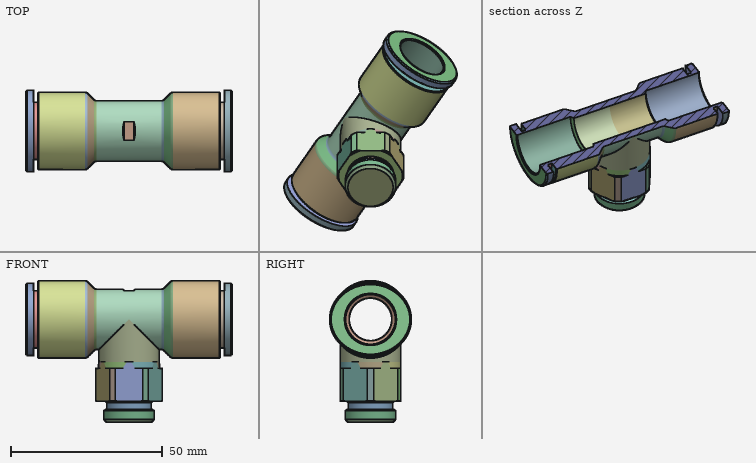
import cadquery as cq
import math

TUBE_RADIUS = 10.0

SOCKET_RADIUS = 12.8
SOCKET_END_X = 30.05
SOCKET_CONE_X = 14.0
SOCKET_END_CHAMFER = 0.3
SHOULDER_FILLET = 1.2

HALF_LENGTH = 34.0
FLANGE_WIDTH = 27.0
FLANGE_HEIGHT = 24.0
FLANGE_THICKNESS = 2.55
FLANGE_CHAMFER_AXIAL = 0.45
FLANGE_CHAMFER_RADIAL = 0.5
COLLAR_NECK_RADIUS = 9.5

BORE_MID_RADIUS = 7.0
SEAT_RADIUS = 8.2
SEAT_STEP_SLOPE = math.radians(30)
MOUTH_CHAMFER = 0.4

HEX_FLATS = 20.0
HEX_CORNER_RADIUS = 11.0
HEX_TOP_Z = -16.13
HEX_BOTTOM_Z = -27.1
HEX_CORNER_CHAMFER_AXIAL = 0.25
HEX_CORNER_CHAMFER_RADIAL = 0.5

COLLAR_TOP_Z = -14.0
COLLAR_BASE_RADIUS = 10.2

SPIGOT_BOTTOM_Z = -34.0
SPIGOT_RADIUS = 8.36
SPIGOT_TOP_Z = -30.13
SPIGOT_CHAMFER_HEIGHT = 1.0
SPIGOT_CHAMFER_RADIAL = 0.9
GROOVE_RADIUS = 7.36
GROOVE_BOTTOM_Z = -29.6
GROOVE_CHAMFER = 0.4

NOTCH_FLOOR_Z = 9.5
NOTCH_FLOOR_LENGTH = 3.2


def revolve_about_x(points):
    """Solid of revolution from (x, radius) points."""
    return cq.Workplane("XY").polyline(points).close().revolve(360, (0, 0, 0), (1, 0, 0))


def revolve_about_z(points):
    """Solid of revolution from (radius, z) points."""
    return cq.Workplane("XZ").polyline(points).close().revolve(360, (0, 0, 0), (0, 1, 0))


def mirrored(half):
    """Half of the run joined to its mirror image across the YZ plane."""
    return half.union(half.mirror("YZ"))


def make_run():
    cone_foot_x = SOCKET_CONE_X - (SOCKET_RADIUS - TUBE_RADIUS)
    run = revolve_about_x([
        (-SOCKET_END_X, 0),
        (-SOCKET_END_X, SOCKET_RADIUS),
        (-SOCKET_CONE_X, SOCKET_RADIUS),
        (-cone_foot_x, TUBE_RADIUS),
        (cone_foot_x, TUBE_RADIUS),
        (SOCKET_CONE_X, SOCKET_RADIUS),
        (SOCKET_END_X, SOCKET_RADIUS),
        (SOCKET_END_X, 0),
    ])
    run = run.faces("<X or >X").edges().chamfer(SOCKET_END_CHAMFER)
    reach = (SOCKET_CONE_X + SOCKET_END_X) / 2
    shoulders = cq.selectors.BoxSelector((-reach, -reach, -reach), (reach, reach, reach))
    return run.edges("%CIRCLE").edges(shoulders).fillet(SHOULDER_FILLET)


def make_release_collar():
    neck_length = HALF_LENGTH - SOCKET_END_X
    neck = cq.Workplane("YZ", origin=(SOCKET_END_X, 0, 0)).circle(COLLAR_NECK_RADIUS).extrude(neck_length)
    flange = (
        cq.Workplane("YZ", origin=(HALF_LENGTH - FLANGE_THICKNESS, 0, 0))
        .ellipse(FLANGE_WIDTH / 2, FLANGE_HEIGHT / 2)
        .extrude(FLANGE_THICKNESS)
    )
    flange = flange.faces(">X").edges().chamfer(FLANGE_CHAMFER_AXIAL, FLANGE_CHAMFER_RADIAL)
    return neck.union(flange)


def make_bore_half():
    """Hose seat ending level with the inner end of the socket."""
    step = (SEAT_RADIUS - BORE_MID_RADIUS) * math.tan(SEAT_STEP_SLOPE)
    return revolve_about_x([
        (0, 0),
        (0, BORE_MID_RADIUS),
        (SOCKET_CONE_X - step, BORE_MID_RADIUS),
        (SOCKET_CONE_X, SEAT_RADIUS),
        (HALF_LENGTH - MOUTH_CHAMFER, SEAT_RADIUS),
        (HALF_LENGTH, SEAT_RADIUS + MOUTH_CHAMFER),
        (HALF_LENGTH, 0),
    ])


def make_branch_tube():
    return cq.Workplane("XY").circle(TUBE_RADIUS).extrude(COLLAR_TOP_Z)


def make_hexagon():
    """Hexagonal prism cut to a turned outline: flared collar above, rounded corners below."""
    across_corners = HEX_FLATS / math.cos(math.pi / 6)
    prism = (
        cq.Workplane("XY", origin=(0, 0, HEX_BOTTOM_Z))
        .polygon(6, across_corners)
        .extrude(COLLAR_TOP_Z - HEX_BOTTOM_Z)
    )
    turned = revolve_about_z([
        (0, COLLAR_TOP_Z),
        (TUBE_RADIUS, COLLAR_TOP_Z),
        (COLLAR_BASE_RADIUS, HEX_TOP_Z),
        (HEX_CORNER_RADIUS, HEX_TOP_Z),
        (HEX_CORNER_RADIUS, HEX_BOTTOM_Z + HEX_CORNER_CHAMFER_AXIAL),
        (HEX_CORNER_RADIUS - HEX_CORNER_CHAMFER_RADIAL, HEX_BOTTOM_Z),
        (0, HEX_BOTTOM_Z),
    ])
    return prism.intersect(turned)


def make_spigot():
    return revolve_about_z([
        (0, HEX_BOTTOM_Z),
        (GROOVE_RADIUS + GROOVE_CHAMFER, HEX_BOTTOM_Z),
        (GROOVE_RADIUS, HEX_BOTTOM_Z - GROOVE_CHAMFER),
        (GROOVE_RADIUS, GROOVE_BOTTOM_Z),
        (SPIGOT_RADIUS, SPIGOT_TOP_Z),
        (SPIGOT_RADIUS, SPIGOT_BOTTOM_Z + SPIGOT_CHAMFER_HEIGHT),
        (SPIGOT_RADIUS - SPIGOT_CHAMFER_RADIAL, SPIGOT_BOTTOM_Z),
        (0, SPIGOT_BOTTOM_Z),
    ])


def make_notch():
    """Trapezoidal cutter along Y with 45 degree end walls."""
    half_floor = NOTCH_FLOOR_LENGTH / 2
    rise = TUBE_RADIUS - NOTCH_FLOOR_Z
    profile = [
        (-half_floor, NOTCH_FLOOR_Z),
        (half_floor, NOTCH_FLOOR_Z),
        (half_floor + rise, TUBE_RADIUS),
        (-half_floor - rise, TUBE_RADIUS),
    ]
    return cq.Workplane("XZ").polyline(profile).close().extrude(TUBE_RADIUS, both=True)


run = make_run().union(mirrored(make_release_collar()))
branch = make_branch_tube().union(make_hexagon()).union(make_spigot())
bore = mirrored(make_bore_half())
result = run.union(branch).cut(bore).cut(make_notch())